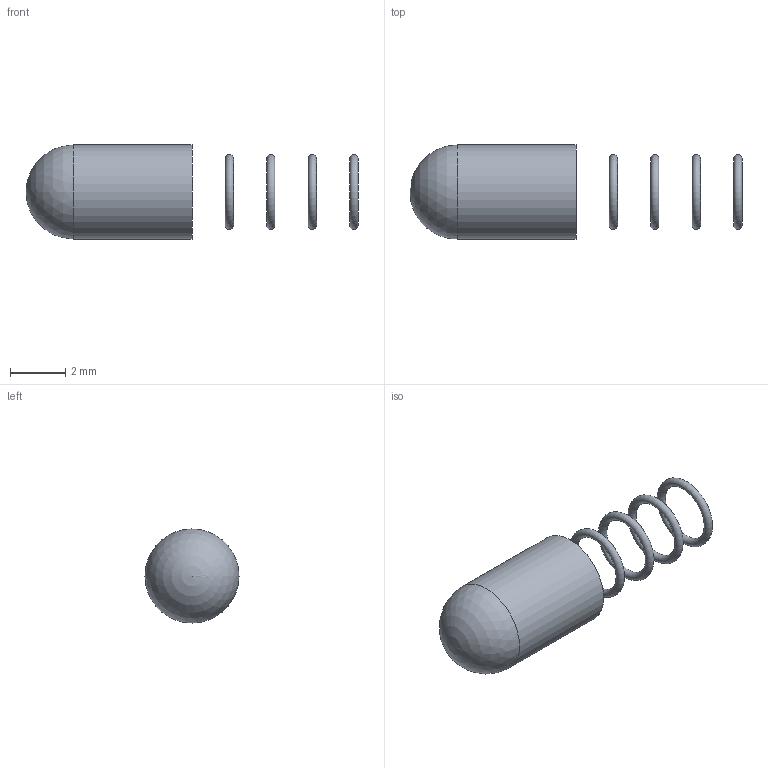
import cadquery as cq
import math


pin_diameter = 3.4
pin_length = 6.0
pin_radius = pin_diameter / 2

coil_count = 4
coil_pitch = 1.5
wire_diameter = 0.3
coil_outer_diameter = 2.7
overall_length = 12.0

wire_radius = wire_diameter / 2
coil_mean_radius = coil_outer_diameter / 2 - wire_radius
last_coil_x = overall_length - wire_radius
first_coil_x = last_coil_x - (coil_count - 1) * coil_pitch


def make_pin():
    """Solid pin around the X axis, with its nose tip at the origin and its flat end toward +X."""
    nose_45_x = pin_radius * (1 - math.sqrt(0.5))
    nose_45_y = -pin_radius * math.sqrt(0.5)
    half_profile = (
        cq.Workplane("XY")
        .moveTo(0, 0)
        .threePointArc((nose_45_x, nose_45_y), (pin_radius, -pin_radius))
        .lineTo(pin_length, -pin_radius)
        .lineTo(pin_length, 0)
        .close()
    )
    return half_profile.revolve(360, (0, 0, 0), (1, 0, 0))


def make_coil(center_x):
    """Closed ring of round wire around the X axis."""
    wire_section = cq.Workplane("XY").center(center_x, -coil_mean_radius).circle(wire_radius)
    return wire_section.revolve(360, (0, coil_mean_radius, 0), (1, coil_mean_radius, 0))


pin = make_pin()
coils = [make_coil(first_coil_x + index * coil_pitch) for index in range(coil_count)]

result = cq.Compound.makeCompound([pin.val(), *[coil.val() for coil in coils]])